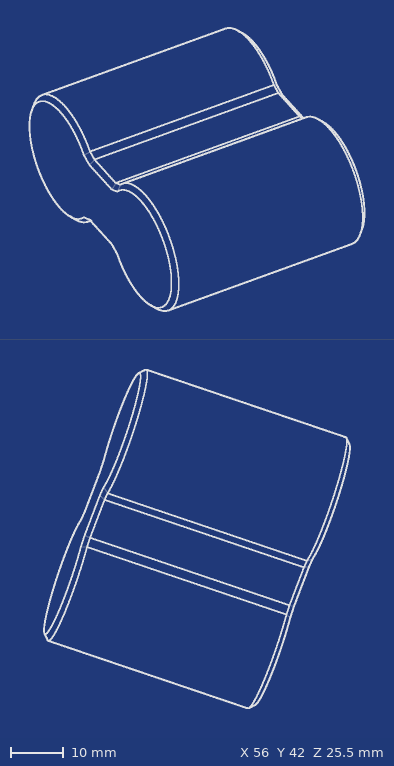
import cadquery as cq
import math

length = 56.0
depth = 42.0
lobe_diameter = 25.5
edge_chamfer = 1.0

waist_height = 15.35
flat_width = 8.05
bevel_width = 11.4

lobe_radius = lobe_diameter / 2
lobe_x = length / 2 - lobe_radius
flat_x = flat_width / 2
flat_z = waist_height / 2
bevel_x = bevel_width / 2
bevel_z = math.sqrt(lobe_radius**2 - (lobe_x - bevel_x) ** 2)


def make_profile():
    """Two round lobes joined by a flat waist with bevelled ends."""
    return (
        cq.Workplane("XZ", origin=(0, depth / 2, 0))
        .moveTo(-flat_x, flat_z)
        .lineTo(flat_x, flat_z)
        .lineTo(bevel_x, bevel_z)
        .threePointArc((length / 2, 0), (bevel_x, -bevel_z))
        .lineTo(flat_x, -flat_z)
        .lineTo(-flat_x, -flat_z)
        .lineTo(-bevel_x, -bevel_z)
        .threePointArc((-length / 2, 0), (-bevel_x, bevel_z))
        .close()
    )


body = make_profile().extrude(depth)

result = body.faces("<Y or >Y").chamfer(edge_chamfer)